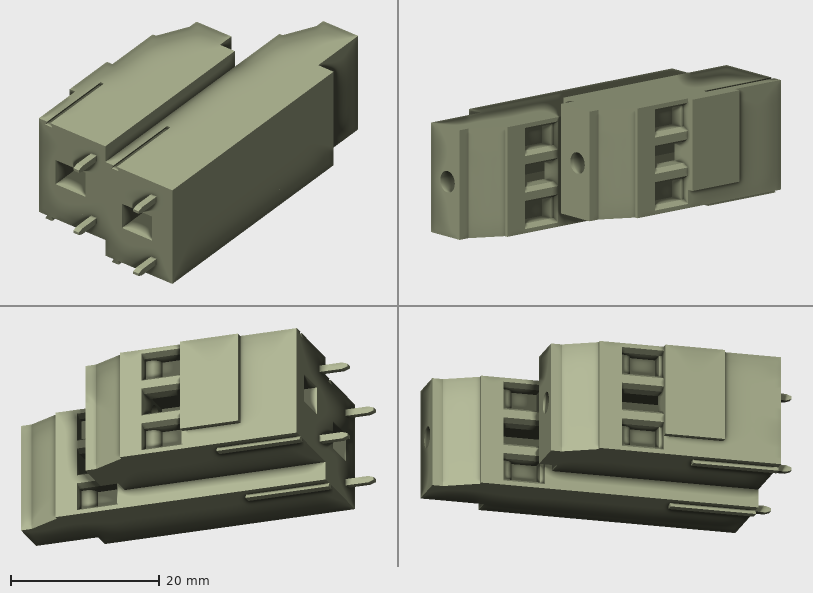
import cadquery as cq


overall_length = 49.0
pitch = 10.15
tier_drop = 2.55
tier_height = 15.25
first_tier_width = 11.25
second_tier_width = 11.35
total_depth = 45.0
tier_setback = 13.48
first_shoulder_y = 28.95
second_shoulder_y = 36.05

back_left_x = 2.85
back_right_x = 8.75
back_lip = 1.5
slope_foot_x = 0.55
slope_foot_drop = 6.05

part_bevel = 0.55

passage_width = 5.05
passage_height = 3.9
passage_x = 2.85
driver_hole_diameter = 3.0

window_back_drop = 9.15
window_length = 5.9
mouth_height = 3.9
mouth_depth = 0.9
mouth_taper = 0.5
slot_height = mouth_height - 2 * mouth_taper
end_shelf_depth = 1.65
end_pocket_depth = passage_x
end_shelf_length = 0.75
end_ledge = 0.45

lug_reach = 0.95
lug_length = 8.35

dovetail_x = 1.65
dovetail_neck = 0.55
dovetail_base = 1.2
dovetail_height = 0.6
dovetail_length = 12.0

pin_width = 0.95
pin_length = overall_length - total_depth
pin_x = 9.35
pin_tip_length = 0.8
pin_tip_height = 0.4

tiers = [
    (0, first_tier_width, tier_drop, total_depth - tier_setback, first_shoulder_y, pin_x),
    (first_tier_width, second_tier_width, 0, total_depth, second_shoulder_y, pin_x + pitch),
]


def box(x, y, z, dx, dy, dz):
    return cq.Workplane("XY").box(dx, dy, dz, centered=False).translate((x, y, z))


def lower_parting(bottom):
    return bottom + tier_height / 2 - pitch / 2


def upper_parting(bottom):
    return bottom + tier_height / 2 + pitch / 2


def tier_body(side, width, bottom, back, shoulder):
    outline = [
        (side, 0),
        (side + width, 0),
        (side + width, shoulder),
        (side + back_right_x, shoulder),
        (side + back_right_x, back),
        (side + back_left_x, back),
        (side + back_left_x, back - back_lip),
        (side + slope_foot_x, back - slope_foot_drop),
        (side, back - slope_foot_drop),
    ]
    return cq.Workplane("XY").workplane(offset=bottom).polyline(outline).close().extrude(tier_height)


def dovetail(side, base_z):
    """Prism along Y: narrow at the top, wide at its base."""
    centre = side + dovetail_x
    top = base_z + dovetail_height
    section = [
        (centre - dovetail_base / 2, base_z),
        (centre + dovetail_base / 2, base_z),
        (centre + dovetail_neck / 2, top),
        (centre - dovetail_neck / 2, top),
    ]
    return cq.Workplane("XZ").polyline(section).close().extrude(-dovetail_length)


def solder_pin(centre_x, centre_z):
    """Square pin whose tip narrows in Z."""
    half = pin_width / 2
    half_tip = pin_tip_height / 2
    taper_y = pin_tip_length - pin_length
    outline = [
        (0, centre_z - half),
        (taper_y, centre_z - half),
        (-pin_length, centre_z - half_tip),
        (-pin_length, centre_z + half_tip),
        (taper_y, centre_z + half),
        (0, centre_z + half),
    ]
    pin = cq.Workplane("YZ").polyline(outline).close().extrude(pin_width)
    return pin.translate((centre_x - half, 0, 0))


def window_mouth(side, front, centre_z):
    """Opening whose floor and ceiling close in with depth."""
    half = mouth_height / 2
    section = [
        (side, centre_z - half),
        (side + mouth_depth, centre_z - half + mouth_taper),
        (side + mouth_depth, centre_z + half - mouth_taper),
        (side, centre_z + half),
    ]
    mouth = cq.Workplane("XZ").polyline(section).close().extrude(-window_length)
    return mouth.translate((0, front, 0))


def end_pocket(side, front, centre_z):
    """Shelf and deeper pocket behind an end window, joined by a rounded edge."""
    back = front + window_length
    shelf_x = side + end_shelf_depth
    deep_x = side + end_pocket_depth
    radius = end_pocket_depth - end_shelf_depth
    edge_y = back - end_shelf_length
    return (
        cq.Workplane("XY")
        .workplane(offset=centre_z - slot_height / 2)
        .moveTo(side, front + end_ledge)
        .lineTo(deep_x, front + end_ledge)
        .lineTo(deep_x, edge_y - radius)
        .radiusArc((shelf_x, edge_y), radius)
        .lineTo(shelf_x, back)
        .lineTo(side, back)
        .close()
        .extrude(slot_height)
    )


def tier_cavities(side, bottom, back):
    """Conductor passage, screwdriver hole and the three side windows of a tier."""
    middle_z = bottom + tier_height / 2
    window_back = back - window_back_drop
    window_front = window_back - window_length
    left = side + passage_x
    floor = middle_z - passage_height / 2

    cavity = box(left, 0, floor, passage_width, window_back, passage_height)
    driver_hole = (
        cq.Workplane("XZ")
        .center(left + passage_width / 2, middle_z)
        .circle(driver_hole_diameter / 2)
        .extrude(-back)
    )
    cavity = cavity.union(driver_hole)

    slot = box(side, window_front, middle_z - slot_height / 2, passage_x, window_length, slot_height)
    cavity = cavity.union(slot).union(window_mouth(side, window_front, middle_z))

    for centre_z in (lower_parting(bottom), upper_parting(bottom)):
        cavity = cavity.union(window_mouth(side, window_front, centre_z))
        cavity = cavity.union(end_pocket(side, window_front, centre_z))
    return cavity


def side_lug():
    side, _, bottom, back = tiers[0][:4]
    lug_back = back - window_back_drop - window_length
    base = lower_parting(bottom)
    top = bottom + tier_height
    return box(side - lug_reach, lug_back - lug_length, base, lug_reach, lug_length, top - base)


def full_block():
    block = side_lug()
    for side, width, bottom, back, shoulder, pin_centre in tiers:
        block = block.union(tier_body(side, width, bottom, back, shoulder))
        block = block.union(dovetail(side, bottom - dovetail_height))
        block = block.cut(dovetail(side, bottom + tier_height - dovetail_height))
        block = block.cut(tier_cavities(side, bottom, back))
        for pin_z in (lower_parting(bottom), upper_parting(bottom)):
            block = block.union(solder_pin(pin_centre, pin_z))
    return block


def below_parting(left_z):
    """Everything below a stepped parting line that is at left_z on the first tier."""
    right_z = left_z - tier_drop
    step_x = first_tier_width
    clearance = 4.9
    left_end = -clearance
    right_end = first_tier_width + second_tier_width + clearance
    section = [
        (left_end, -clearance),
        (left_end, left_z),
        (step_x - part_bevel, left_z),
        (step_x, left_z - part_bevel),
        (step_x, right_z + part_bevel),
        (step_x + part_bevel, right_z),
        (right_end, right_z),
        (right_end, -clearance),
    ]
    start_y = -pin_length - clearance
    end_y = total_depth + clearance
    region = cq.Workplane("XZ").polyline(section).close().extrude(start_y - end_y)
    return region.translate((0, start_y, 0))


block = full_block()
below_lower = below_parting(lower_parting(tier_drop))
below_upper = below_parting(upper_parting(tier_drop))

lower_housing = block.intersect(below_lower)
middle_housing = block.intersect(below_upper).cut(below_lower)
upper_housing = block.cut(below_upper)

result = cq.Compound.makeCompound([
    *lower_housing.solids().vals(),
    *middle_housing.solids().vals(),
    *upper_housing.solids().vals(),
])